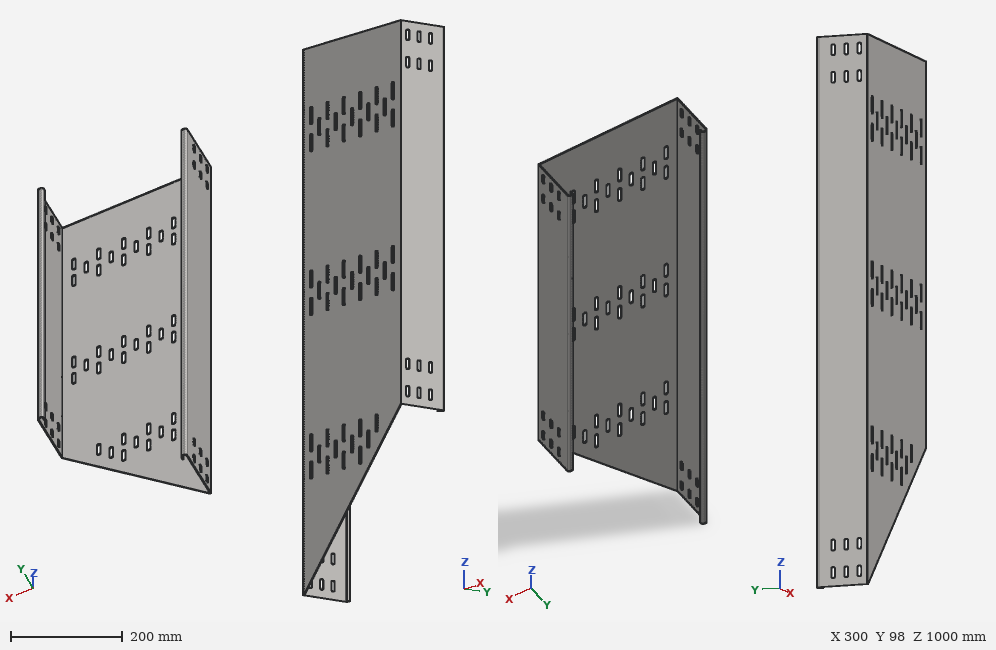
import cadquery as cq

width = 300.0
depth = 98.0
length = 1000.0
sheet = 2.0

mitre_setback = 3.0
mitre_top = width - mitre_setback

lip_width = 12.0
lip_drop = 9.0
lip_radius = 4.5

slot_pitch = 25.0
floor_slot_width = 7.0
floor_slot_length = 32.0
group_heights = (250.0, 550.0, 850.0)

wall_slot_width = 7.0
wall_slot_length = 20.0
wall_slot_columns = 3
first_wall_column = 16.0
wall_rows_from_end = (slot_pitch, 3 * slot_pitch)

SLOT_ALONG_Z = 90


def make_floor():
    outline = [(0, 0), (mitre_setback, 0), (width, mitre_top), (width, length), (0, length)]
    return cq.Workplane("XZ").polyline(outline).close().extrude(-sheet)


def make_left_wall(bottom):
    """Side wall at X = 0 with its lip, from the given bottom to the top end."""
    inner_radius = lip_radius - sheet
    lip_bend_start = lip_width - lip_radius
    lip_end = depth - lip_drop
    bend_start = depth - lip_radius
    profile = (
        cq.Workplane("XY", origin=(0, 0, bottom))
        .moveTo(0, 0)
        .lineTo(0, bend_start)
        .radiusArc((lip_radius, depth), lip_radius)
        .lineTo(lip_bend_start, depth)
        .radiusArc((lip_width, bend_start), lip_radius)
        .lineTo(lip_width, lip_end)
        .lineTo(lip_width - sheet, lip_end)
        .lineTo(lip_width - sheet, bend_start)
        .radiusArc((lip_bend_start, depth - sheet), -inner_radius)
        .lineTo(lip_radius, depth - sheet)
        .radiusArc((sheet, bend_start), -inner_radius)
        .lineTo(sheet, 0)
        .close()
    )
    return profile.extrude(length - bottom)


def make_right_wall(bottom):
    """Mirror image of the left wall, with its outer face at X = width."""
    return make_left_wall(bottom).mirror("YZ").translate((width, 0, 0))


def floor_slots():
    """Cutters for the staggered slots, leaving out those beyond the mitre."""
    columns = [slot_pitch * i for i in range(1, round(width / slot_pitch))]
    outer_columns = columns[0::2]
    middle_columns = columns[1::2]
    rows = (
        (-slot_pitch, outer_columns),
        (0, middle_columns),
        (slot_pitch, outer_columns),
    )
    points = []
    for height in group_heights:
        for offset, row_columns in rows:
            z = height + offset
            points += [(x, z) for x in row_columns if x < z]
    return (
        cq.Workplane("XZ", origin=(0, -sheet, 0))
        .pushPoints(points)
        .slot2D(floor_slot_length, floor_slot_width, SLOT_ALONG_Z)
        .extrude(-3 * sheet)
    )


def wall_slots(face_x, bottom):
    """Cutters at both ends of a wall whose lower-X face lies at face_x."""
    columns = [first_wall_column + slot_pitch * i for i in range(wall_slot_columns)]
    rows = [bottom + distance for distance in wall_rows_from_end]
    rows += [length - distance for distance in wall_rows_from_end]
    return (
        cq.Workplane("YZ", origin=(face_x - sheet, 0, 0))
        .pushPoints([(y, z) for y in columns for z in rows])
        .slot2D(wall_slot_length, wall_slot_width, SLOT_ALONG_Z)
        .extrude(3 * sheet)
    )


tray = make_floor().union(make_left_wall(0)).union(make_right_wall(mitre_top)).clean()
tray = tray.cut(floor_slots())
tray = tray.cut(wall_slots(0, 0))
result = tray.cut(wall_slots(width - sheet, mitre_top))